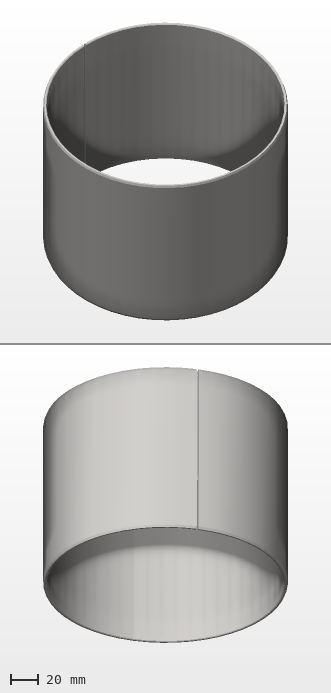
import cadquery as cq

outer_diameter = 175.0
height = 130.0
wall = 2.5
outer_chamfer_height = 1.8
outer_chamfer_width = 0.7
inner_chamfer = 0.5
slit_width = 1.4

outer_radius = outer_diameter / 2
inner_radius = outer_radius - wall
bottom = -height / 2
top = height / 2

wall_profile = [
    (inner_radius, bottom + inner_chamfer),
    (inner_radius + inner_chamfer, bottom),
    (outer_radius - outer_chamfer_width, bottom),
    (outer_radius, bottom + outer_chamfer_height),
    (outer_radius, top - outer_chamfer_height),
    (outer_radius - outer_chamfer_width, top),
    (inner_radius + inner_chamfer, top),
    (inner_radius, top - inner_chamfer),
]
sleeve = cq.Workplane("XZ").polyline(wall_profile).close().revolve(360, (0, 0, 0), (0, 1, 0))

slit = cq.Workplane("XY").box(outer_diameter, slit_width, height)
slit = slit.translate((-outer_radius, slit_width / 2, 0))

result = sleeve.cut(slit)